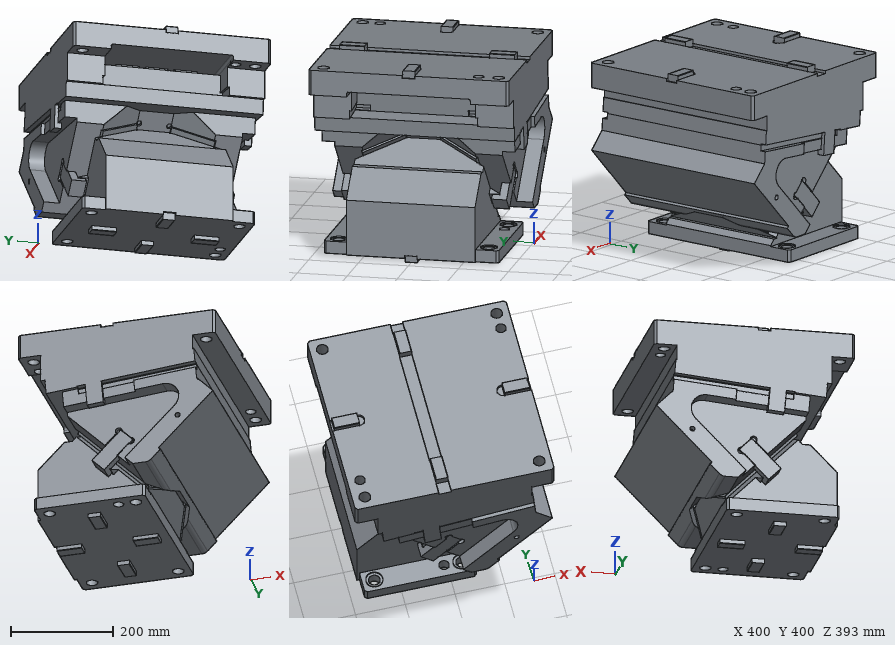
import cadquery as cq
import math


PLATE_SIDE = 400.0
PLATE_BOTTOM = 325.0
PLATE_TOP = 375.0
CORNER_CHAMFER = 5.0
HOLE_INSET = 25.0
BOLT_DIA = 22.5
DOWEL_DIA = 20.0
DOWEL_PITCH = 35.0
WIDE_DOWEL_PITCH = 40.0

KEY_WIDTH = 25.0
KEY_LENGTH = 50.0
KEY_HEIGHT = 9.0
KEY_SEAT = 5.5
KEY_CHAMFER = 1.0

SLOPE_ANGLE = 45.0
TILT_ANGLE = 5.0
HALF_WIDTH = PLATE_SIDE / 2

DRIVER_BOX_HALF = 154.5
SLAB_BOTTOM = 250.5
SLAB_TOP = 281.0
SLAB_START = -121.5
SLAB_END = 182.0
TOP_GROOVE_X = -20.0
TOP_KEY_EDGE_GAP = 4.0
TOP_SLOT_REACH = 67.0
CROSS_KEY_Y = 150.0
EDGE_RELIEF = 2.0
HOOK_START = -42.0
HOOK_END = -9.0
HOOK_BOTTOM = 206.0
HOOK_THICKNESS = 7.0
HOOK_LIP = 14.5
POCKET_HALF_WIDTH = 124.0
POCKET_FOOT_HALF_WIDTH = 128.5
POCKET_FOOT_HEIGHT = 17.0
POCKET_CEILING = 335.0
POCKET_CORNER = 5.0
POCKET_DEPTH = 44.0
POCKET_SHELF = 333.0
SHELF_DEPTH = 20.0
SHELF_CHANNELS = [(22.5, 35.0), (82.5, 124.0)]
SIDE_NOTCH_INNER = 98.0
SIDE_NOTCH_BOTTOM = 1.0
SIDE_NOTCH_HEIGHT = 11.0
SIDE_NOTCH_DEPTH = 12.0

SLIDER_START = -91.0
FLANGE_BOTTOM = 217.0
LEDGE_TOP = 239.0
LEDGE_START = -59.0
LEDGE_WIDTH = 11.0
HOOK_RECESS_END = 56.0
SLIDER_SIDE = 168.0
SLIDER_BOTTOM = 65.0
SLIDER_BACK = -1.0
SLIDER_NOSE = 5.0
NOSE_STEP = 121.5
SHOULDER = -47.5
SLIDER_FOOT = 59.0
NOSE_RADIUS = 16.0
SIDE_POCKET_WALL = -41.0
SIDE_POCKET_RADIUS = 30.0
SIDE_HOLE = (124.0, 153.0)
SIDE_HOLE_DIA = 9.5
SIDE_HOLE_DEPTH = 16.0
VEE_CEILING_HALF = 34.5
VEE_EDGE = 113.0
VEE_ANGLE = 30.0
PAD_START = -206.5
PAD_EDGE_LEAN = 3.0
PAD_RELIEF_RADIUS = 5.0
PAD_RELIEF_DEPTH = 6.0

RETAINER_START = -111.0
RETAINER_END = -76.0
RETAINER_TOP = 109.0
RETAINER_BOTTOM = 26.5
RETAINER_OUTER = 165.0
RETAINER_INNER = 149.5
RETAINER_LIP_INNER = 135.0
RETAINER_LIP_TOP = 37.0
RELIEF_RADIUS = 7.0
RELIEF_DEPTH = 8.0

FOOT_BACK = -175.0
FOOT_FRONT = 50.0
FOOT_HALF_WIDTH = 175.0
FOOT_HEIGHT = 25.0
BLOCK_BACK = -180.0
BLOCK_HALF_WIDTH = 129.0
BLOCK_BACK_TOP = 111.0
BLOCK_SHOULDER = 165.0
WAY_START = -195.0
WAY_END = -5.0
WAY_EDGE = 51.0
WAY_FLAT_HALF = 33.0
FRONT_FLAT = 37.5
FRONT_STEP_X = 39.0
TAB_CLEARANCE = 1.5
COUNTERBORE_DIA = 33.5
COUNTERBORE_DEPTH = 2.5
BOTTOM_GROOVE_X = -65.5
BOTTOM_KEY_X = [-175.0, -20.0]

SIDES = (1, -1)
FAR = 800.0
SLOPE_SIN = math.sin(math.radians(SLOPE_ANGLE))
SLOPE_COS = math.cos(math.radians(SLOPE_ANGLE))
TILT_SIN = math.sin(math.radians(TILT_ANGLE))
TILT_COS = math.cos(math.radians(TILT_ANGLE))
VEE_SLOPE = math.tan(math.radians(VEE_ANGLE))
VEE_CEILING = SLIDER_BOTTOM + (VEE_EDGE - VEE_CEILING_HALF) * VEE_SLOPE


def sloped(down, out):
    """XZ point from distances down along the 45 degree way and out from it."""
    return (down * SLOPE_COS + out * SLOPE_SIN, out * SLOPE_COS - down * SLOPE_SIN)


def tilted(along, above):
    """XZ point from distances along and above the 5 degree face direction."""
    return (along * TILT_COS - above * TILT_SIN, along * TILT_SIN + above * TILT_COS)


def slope_at_height(down, z):
    """XZ point at height z on the line square to the way, `down` along it."""
    return (down / SLOPE_COS + z, z)


def prism(points, y_min, y_max):
    """XZ outline extruded from y_min to y_max."""
    return cq.Workplane("XZ", origin=(0, y_max, 0)).polyline(points).close().extrude(y_max - y_min)


def side_prism(points, side, inner, outer):
    """XZ outline extruded between two distances from Y = 0, on one side."""
    low, high = sorted((side * inner, side * outer))
    return prism(points, low, high)


def box(x_min, x_max, y_min, y_max, z_min, z_max):
    size = (x_max - x_min, y_max - y_min, z_max - z_min)
    return cq.Workplane("XY").box(*size, centered=False).translate((x_min, y_min, z_min))


def rectangle(point, along_range, across_range):
    """Four corners of a rectangle in tilted or sloped coordinates."""
    a0, a1 = along_range
    b0, b1 = across_range
    return [point(a0, b0), point(a1, b0), point(a1, b1), point(a0, b1)]


def way_prism(section, start, end):
    """(Y, out) section extruded down the way from start to end."""
    x, z = sloped(start, 0)
    plane = cq.Plane(origin=(x, 0, z), xDir=(0, 1, 0), normal=(SLOPE_COS, 0, -SLOPE_SIN))
    return cq.Workplane(plane).polyline(section).close().extrude(end - start)


def mirrored(half):
    """Section symmetric about Y = 0, from the points of its +Y half."""
    return half + [(-y, out) for y, out in reversed(half)]


def cylinder(x, y, diameter, z_min, z_max):
    return cq.Workplane("XY", origin=(x, y, z_min)).circle(diameter / 2).extrude(z_max - z_min)


def key_along_x(x_min, y, z_min, z_max, chamfered):
    key = box(x_min, x_min + KEY_LENGTH, y - KEY_WIDTH / 2, y + KEY_WIDTH / 2, z_min, z_max)
    return key.faces(chamfered).edges("|X").chamfer(KEY_CHAMFER)


def key_along_y(x, y, z_min, z_max, chamfered):
    half = KEY_LENGTH / 2
    key = box(x - KEY_WIDTH / 2, x + KEY_WIDTH / 2, y - half, y + half, z_min, z_max)
    return key.faces(chamfered).edges("|Y").chamfer(KEY_CHAMFER)


def way_height(y):
    """Height of the base way's roof at a distance y from its middle."""
    return WAY_EDGE + (BLOCK_HALF_WIDTH - y) * VEE_SLOPE


def driver_blank():
    plate = box(-HALF_WIDTH, HALF_WIDTH, -HALF_WIDTH, HALF_WIDTH, PLATE_BOTTOM, PLATE_TOP)
    plate = plate.edges("|Z").chamfer(CORNER_CHAMFER)
    left_x = -DRIVER_BOX_HALF
    right_x = DRIVER_BOX_HALF
    slab_rise = TILT_SIN / TILT_COS
    slab_middle = SLAB_TOP / TILT_COS
    column = [
        (left_x, PLATE_BOTTOM),
        (left_x, slab_middle + left_x * slab_rise),
        (right_x, slab_middle + right_x * slab_rise),
        (right_x, PLATE_BOTTOM),
    ]
    slab = rectangle(tilted, (SLAB_START, SLAB_END), (SLAB_BOTTOM, SLAB_TOP))
    blank = plate.union(prism(column, -HALF_WIDTH, HALF_WIDTH))
    return blank.union(prism(slab, -HALF_WIDTH, HALF_WIDTH))


def driver_holes():
    reach = HALF_WIDTH - HOLE_INSET
    spots = [(sx * reach, sy * reach, BOLT_DIA) for sx in SIDES for sy in SIDES]
    spots.append((reach, reach - DOWEL_PITCH, DOWEL_DIA))
    spots.append((-reach, -reach + WIDE_DOWEL_PITCH, DOWEL_DIA))
    holes = cq.Workplane("XY")
    for x, y, diameter in spots:
        holes = holes.union(cylinder(x, y, diameter, PLATE_BOTTOM, PLATE_TOP))
    return holes


def driver_key_slots():
    floor = PLATE_TOP - KEY_SEAT
    half = KEY_WIDTH / 2
    slots = box(TOP_GROOVE_X - half, TOP_GROOVE_X + half, -HALF_WIDTH, HALF_WIDTH, floor, PLATE_TOP)
    for side in SIDES:
        end_x = side * (HALF_WIDTH - TOP_SLOT_REACH + half)
        x_min, x_max = sorted((end_x, side * HALF_WIDTH))
        slots = slots.union(box(x_min, x_max, -half, half, floor, PLATE_TOP))
        slots = slots.union(cylinder(end_x, 0, KEY_WIDTH, floor, PLATE_TOP))
    return slots


def driver_keys():
    bottom = PLATE_TOP - KEY_SEAT
    top = PLATE_TOP + KEY_HEIGHT
    first_x = -HALF_WIDTH + TOP_KEY_EDGE_GAP
    last_x = HALF_WIDTH - TOP_KEY_EDGE_GAP - KEY_LENGTH
    keys = cq.Workplane("XY")
    for x_min in (first_x, last_x):
        keys = keys.union(key_along_x(x_min, 0, bottom, top, ">Z"))
    for side in SIDES:
        keys = keys.union(key_along_y(TOP_GROOVE_X, side * CROSS_KEY_Y, bottom, top, ">Z"))
    return keys


def driver_front_pocket():
    """Pocket above the inclined slab, running out under the plate's back edge."""
    wall = SLAB_START + POCKET_DEPTH
    deep = [tilted(wall, SLAB_TOP), tilted(wall, FAR), (-HALF_WIDTH, FAR), tilted(-FAR, SLAB_TOP)]
    ceiling = box(-FAR, FAR, -POCKET_HALF_WIDTH, POCKET_HALF_WIDTH, 0, POCKET_CEILING)
    ceiling = ceiling.faces(">Z").edges("|X").fillet(POCKET_CORNER)
    shelf = rectangle(tilted, (wall, wall + SHELF_DEPTH), (POCKET_SHELF, FAR))
    channel = rectangle(tilted, (wall, FAR), (POCKET_SHELF, FAR))
    pocket = prism(deep, -HALF_WIDTH, HALF_WIDTH).union(prism(shelf, -HALF_WIDTH, HALF_WIDTH))
    for inner, outer in SHELF_CHANNELS:
        for side in SIDES:
            pocket = pocket.union(side_prism(channel, side, inner, outer))
    pocket = pocket.intersect(ceiling)

    foot_top = SLAB_TOP + POCKET_FOOT_HEIGHT
    foot = rectangle(tilted, (SLAB_START - POCKET_DEPTH, wall), (SLAB_TOP, foot_top))
    pocket = pocket.union(prism(foot, -POCKET_FOOT_HALF_WIDTH, POCKET_FOOT_HALF_WIDTH))
    notch_bottom = SLAB_TOP + SIDE_NOTCH_BOTTOM
    notch_heights = (notch_bottom, notch_bottom + SIDE_NOTCH_HEIGHT)
    notch = rectangle(tilted, (wall, wall + SIDE_NOTCH_DEPTH), notch_heights)
    for side in SIDES:
        pocket = pocket.union(side_prism(notch, side, SIDE_NOTCH_INNER, POCKET_FOOT_HALF_WIDTH))
    return pocket


def driver_hook(side):
    """Claw that reaches down the slider's flange and grips under it."""
    leg = rectangle(tilted, (HOOK_START, HOOK_END), (HOOK_BOTTOM, SLAB_BOTTOM + EDGE_RELIEF))
    lip = rectangle(tilted, (HOOK_START, HOOK_END), (HOOK_BOTTOM, FLANGE_BOTTOM))
    hook = side_prism(leg, side, HALF_WIDTH - HOOK_THICKNESS, HALF_WIDTH)
    return hook.union(side_prism(lip, side, HALF_WIDTH - HOOK_LIP, HALF_WIDTH))


def driver_edge_relief(side):
    """Thin rabbet along the slab's lower outer edge, over the slider's ledge."""
    strip = rectangle(tilted, (LEDGE_START, SLAB_END), (SLAB_BOTTOM, SLAB_BOTTOM + EDGE_RELIEF))
    return side_prism(strip, side, HALF_WIDTH - LEDGE_WIDTH, HALF_WIDTH)


def make_driver():
    driver = driver_blank().cut(driver_front_pocket()).cut(driver_holes())
    driver = driver.cut(driver_key_slots()).union(driver_keys())
    for side in SIDES:
        driver = driver.cut(driver_edge_relief(side)).union(driver_hook(side))
    return driver


def tilt_meets_slope_out(along, out):
    """XZ point where the line square to the 5 degree face meets a line parallel to the way."""
    between = math.radians(SLOPE_ANGLE + TILT_ANGLE)
    above = (out - along * math.sin(between)) / math.cos(between)
    return tilted(along, above)


def tilt_meets_slope_down(above, down):
    """XZ point where a line along the 5 degree face meets a line square to the way."""
    between = math.radians(SLOPE_ANGLE + TILT_ANGLE)
    along = (down + above * math.sin(between)) / math.cos(between)
    return tilted(along, above)


def slider_blank():
    between = math.radians(SLOPE_ANGLE + TILT_ANGLE)
    shoulder_above = (SLAB_END * math.cos(between) - SHOULDER) / math.sin(between)
    shoulder = tilted(SLAB_END, shoulder_above)
    shoulder_out = (shoulder[0] + shoulder[1]) * SLOPE_COS
    foot_start = (SLIDER_BOTTOM / SLOPE_COS - SLIDER_FOOT, SLIDER_FOOT)
    nose = slope_at_height(SLIDER_NOSE, SLIDER_FOOT)
    outline = [
        tilted(SLIDER_START, SLAB_BOTTOM),
        tilt_meets_slope_out(SLIDER_START, SLIDER_BOTTOM),
        foot_start,
        nose,
        sloped(SLIDER_NOSE, NOSE_STEP),
        sloped(SLIDER_BACK, NOSE_STEP),
        sloped(SLIDER_BACK, shoulder_out),
        shoulder,
        tilted(SLAB_END, SLAB_BOTTOM),
    ]
    blank = prism(outline, -HALF_WIDTH, HALF_WIDTH)
    nose_edge = cq.selectors.NearestToPointSelector((nose[0], 0, nose[1]))
    return blank.edges("|Y").edges(nose_edge).fillet(NOSE_RADIUS)


def slider_vee():
    """Inverted V-notch that clears the roof of the base."""
    half = [(VEE_EDGE, 0), (VEE_EDGE, SLIDER_BOTTOM), (VEE_CEILING_HALF, VEE_CEILING)]
    return way_prism(mirrored(half), -FAR, FAR)


def slider_pad(side):
    """Wear pad filling the notch's flank down to the roof of the base."""
    section = [
        (side * VEE_EDGE, way_height(VEE_EDGE)),
        (side * (VEE_EDGE + PAD_EDGE_LEAN), SLIDER_BOTTOM),
        (side * VEE_EDGE, SLIDER_BOTTOM),
        (side * VEE_CEILING_HALF, VEE_CEILING),
        (side * VEE_CEILING_HALF, way_height(VEE_CEILING_HALF)),
    ]
    return way_prism(section, PAD_START, WAY_END)


def slider_pad_relief(side):
    """Round corner relief in the notch's ceiling at the upper inner corner of a pad."""
    x, z = sloped(PAD_START, VEE_CEILING)
    y = side * (VEE_CEILING_HALF - PAD_RELIEF_RADIUS * SLOPE_COS)
    plane = cq.Plane(origin=(x, y, z), xDir=(0, 1, 0), normal=(SLOPE_SIN, 0, SLOPE_COS))
    return cq.Workplane(plane).circle(PAD_RELIEF_RADIUS).extrude(PAD_RELIEF_DEPTH)


def slider_side_pocket(side):
    """Recess in the slider's side, under the flange and open to the way."""
    corner = tilt_meets_slope_down(FLANGE_BOTTOM, SIDE_POCKET_WALL)
    outline = [
        tilted(-FAR, FLANGE_BOTTOM),
        sloped(SIDE_POCKET_WALL, -FAR),
        corner,
    ]
    pocket = side_prism(outline, side, SLIDER_SIDE, HALF_WIDTH)
    nearest = cq.selectors.NearestToPointSelector((corner[0], side * HALF_WIDTH, corner[1]))
    return pocket.edges("|Y").edges(nearest).fillet(SIDE_POCKET_RADIUS)


def slider_flange_cuts(side):
    """Low ledge along the flange's top edge and the shallow recess for the driver's hook."""
    ledge = rectangle(tilted, (LEDGE_START, SLAB_END), (LEDGE_TOP, SLAB_BOTTOM))
    recess = rectangle(tilted, (SLIDER_START, HOOK_RECESS_END), (FLANGE_BOTTOM, SLAB_BOTTOM))
    cuts = side_prism(ledge, side, HALF_WIDTH - LEDGE_WIDTH, HALF_WIDTH)
    return cuts.union(side_prism(recess, side, HALF_WIDTH - HOOK_THICKNESS, HALF_WIDTH))


def slider_side_hole(side):
    x, z = SIDE_HOLE
    y_max = max(side * HALF_WIDTH, side * (HALF_WIDTH - SIDE_HOLE_DEPTH))
    hole = cq.Workplane("XZ", origin=(x, y_max, z)).circle(SIDE_HOLE_DIA / 2)
    return hole.extrude(SIDE_HOLE_DEPTH)


def retainer_seat(side):
    """Shallow seat in the slider's side with corner reliefs at its upper end."""
    span = (RETAINER_START, RETAINER_END)
    seat = side_prism(
        rectangle(sloped, span, (SLIDER_BOTTOM, RETAINER_TOP)), side, RETAINER_OUTER, SLIDER_SIDE
    )
    y_max = max(side * SLIDER_SIDE, side * (SLIDER_SIDE - RELIEF_DEPTH))
    inset = RELIEF_RADIUS * SLOPE_COS
    for down in (RETAINER_START, RETAINER_END):
        x, z = sloped(down, RETAINER_TOP - inset)
        relief = cq.Workplane("XZ", origin=(x, y_max, z)).circle(RELIEF_RADIUS)
        seat = seat.union(relief.extrude(RELIEF_DEPTH))
    return seat


def retainer(side):
    """L-shaped arm that hangs from the slider and hooks under the base's tab."""
    span = (RETAINER_START, RETAINER_END)
    arm = rectangle(sloped, span, (RETAINER_BOTTOM, RETAINER_TOP))
    lip = rectangle(sloped, span, (RETAINER_BOTTOM, RETAINER_LIP_TOP))
    shape = side_prism(arm, side, RETAINER_INNER, RETAINER_OUTER)
    return shape.union(side_prism(lip, side, RETAINER_LIP_INNER, RETAINER_OUTER))


def make_slider():
    slider = slider_blank().cut(slider_vee())
    for side in SIDES:
        slider = slider.cut(slider_side_pocket(side)).cut(slider_flange_cuts(side))
        slider = slider.cut(slider_side_hole(side)).cut(retainer_seat(side))
        slider = slider.union(retainer(side)).union(slider_pad(side))
        slider = slider.cut(slider_pad_relief(side))
    return slider


def base_block():
    way_foot = slope_at_height(WAY_END, FRONT_FLAT)
    ridge = way_height(WAY_FLAT_HALF)
    outline = [
        (BLOCK_BACK, 0),
        (BLOCK_BACK, BLOCK_BACK_TOP),
        (BLOCK_BACK + BLOCK_SHOULDER - BLOCK_BACK_TOP, BLOCK_SHOULDER),
        slope_at_height(WAY_START, BLOCK_SHOULDER),
        sloped(WAY_START, ridge),
        sloped(WAY_END, ridge),
        way_foot,
        (FRONT_STEP_X, FRONT_FLAT),
        (FOOT_FRONT, FRONT_FLAT - (FOOT_FRONT - FRONT_STEP_X)),
        (FOOT_FRONT, 0),
    ]
    block = prism(outline, -BLOCK_HALF_WIDTH, BLOCK_HALF_WIDTH)
    half = [(FAR, -FAR), (FAR, way_height(FAR)), (WAY_FLAT_HALF, ridge)]
    roof = way_prism(mirrored(half), -FAR, WAY_END)
    toe = box(-FAR, FAR, -FAR, FAR, 0, FRONT_FLAT)
    return block.intersect(roof.union(toe))


def base_tab(side):
    """Tab that continues the roof past the block's side, for the retainer to hook under."""
    inner = BLOCK_HALF_WIDTH
    section = [
        (side * inner, RETAINER_LIP_TOP),
        (side * RETAINER_INNER, RETAINER_LIP_TOP),
        (side * RETAINER_INNER, way_height(RETAINER_INNER)),
        (side * inner, way_height(inner)),
    ]
    return way_prism(section, RETAINER_START - TAB_CLEARANCE, RETAINER_END + TAB_CLEARANCE)


def base_foot():
    foot = box(FOOT_BACK, FOOT_FRONT, -FOOT_HALF_WIDTH, FOOT_HALF_WIDTH, 0, FOOT_HEIGHT)
    return foot.edges("|Z").chamfer(CORNER_CHAMFER)


def base_holes():
    holes = cq.Workplane("XY")
    seat = FOOT_HEIGHT - COUNTERBORE_DEPTH
    reach = FOOT_HALF_WIDTH - HOLE_INSET
    front_x = FOOT_FRONT - HOLE_INSET
    for side in SIDES:
        for x in (FOOT_BACK + HOLE_INSET, front_x):
            y = side * reach
            holes = holes.union(cylinder(x, y, BOLT_DIA, 0, FOOT_HEIGHT))
            holes = holes.union(cylinder(x, y, COUNTERBORE_DIA, seat, FOOT_HEIGHT))
    return holes.union(cylinder(front_x - DOWEL_PITCH, -reach, DOWEL_DIA, 0, FOOT_HEIGHT))


def base_key_slot():
    """Slot for the first lengthwise key, open at the block's back."""
    half = KEY_WIDTH / 2
    return box(BLOCK_BACK, BOTTOM_KEY_X[0] + KEY_LENGTH, -half, half, 0, KEY_SEAT)


def base_keys():
    keys = cq.Workplane("XY")
    for x_min in BOTTOM_KEY_X:
        keys = keys.union(key_along_x(x_min, 0, -KEY_HEIGHT, KEY_SEAT, "<Z"))
    for side in SIDES:
        y = side * (BLOCK_HALF_WIDTH - KEY_LENGTH / 2)
        keys = keys.union(key_along_y(BOTTOM_GROOVE_X, y, -KEY_HEIGHT, KEY_SEAT, "<Z"))
    return keys


def make_base():
    base = base_block().union(base_foot()).cut(base_holes())
    base = base.cut(base_key_slot()).union(base_keys())
    for side in SIDES:
        base = base.union(base_tab(side))
    return base


driver = make_driver()
slider = make_slider()
base = make_base()
result = cq.Compound.makeCompound([driver.val(), slider.val(), base.val()])